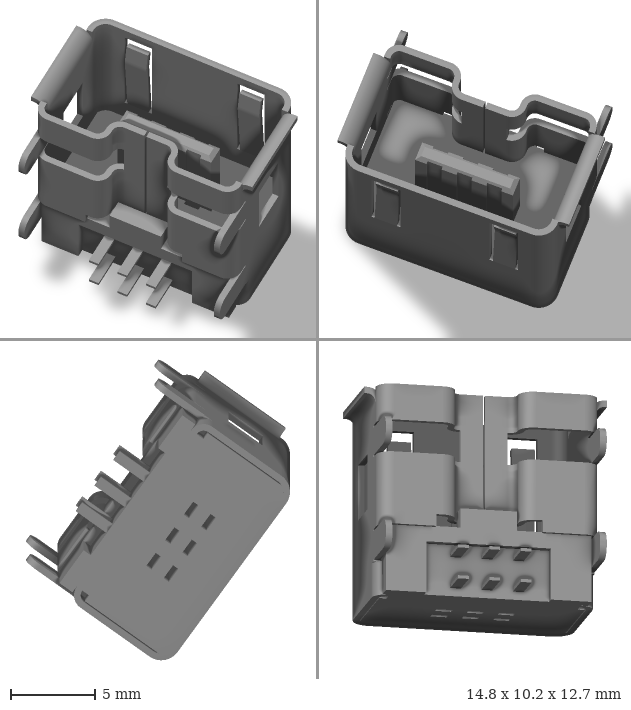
import cadquery as cq

sheet = 0.4
shell_height = 12.7
shell_half_width = 6.72
shell_depth = 8.38
back_radius = 1.2
bend_radius = 0.9
inner_bend = bend_radius - sheet
wall_inner = shell_half_width - sheet
lobe_end = 2.84
dip_depth = 1.55
seam_half_gap = 0.07
dip_outer_y = dip_depth - shell_depth
dip_flat_end = lobe_end - bend_radius - inner_bend

front_edge_z = 4.06
notch_half_width = 3.24
notch_z = 4.79

leg_root_y = -6.83
leg_tip_y = -10.24
leg_radius = 0.75
upper_leg_z = (8.63, 10.33)
lower_leg_z = (2.19, 3.95)
upper_slot_z = (8.51, 10.48)

tab_height = 2.08
tab_bend_y = -6.27
tab_end_x = shell_half_width - bend_radius

lip_y = (-7.3, -1.37)
lip_tip_x = 7.39
lip_bend_z = shell_height - bend_radius
lip_bend_x = shell_half_width + inner_bend

window_y = (-5.1, -2.55)
window_z = (5.75, 9.15)

spring_window_x = (2.84, 4.67)
spring_window_z = (5.53, 12.0)
finger_x = (3.06, 4.48)
finger_knee_z = (9.93, 10.21)
finger_knee_y = (-0.72, -0.71)
finger_tip_inner = (-0.52, 11.32)
finger_tip_outer = (-0.13, 11.22)

housing_half_width = 6.25
housing_front_y = -8.13
floor_z = 4.12
stop_half_width = 1.71
stop_back_y = -7.0
stop_z = 5.3
recess_half_width = 3.8
recess_height = 3.15
recess_depth = 0.52
tab_pocket_y = -7.18
tab_pocket_height = 1.24

tongue_y = -3.72
tongue_length = 6.24
tongue_thickness = 1.18
tongue_top_z = 9.2
tongue_chamfer_height = 0.22
tongue_chamfer_width = 0.28

contact_pitch = 1.9
contact_columns = (-contact_pitch, 0, contact_pitch)
contact_slot_width = 0.96
contact_slot_offset = (0.45, 0.83)

pin_width = 0.65
pin_thickness = 0.19
pin_tip_y = -9.83
pin_row_z = (0.5, 2.41)


def box(x, y, z):
    """Box spanning the (low, high) pairs along each axis."""
    size = (x[1] - x[0], y[1] - y[0], z[1] - z[0])
    return cq.Workplane("XY").box(*size, centered=False).translate((x[0], y[0], z[0]))


def wrapped_wall():
    """Bent sheet of one half, from the back seam round to the front gap."""
    back_bend_x = shell_half_width - back_radius
    front_bend_x = shell_half_width - bend_radius
    front_bend_y = bend_radius - shell_depth
    dip_side_x = lobe_end - bend_radius
    dip_bend_y = dip_outer_y - inner_bend
    return (
        cq.Workplane("XY")
        .moveTo(0, 0)
        .lineTo(back_bend_x, 0)
        .tangentArcPoint((shell_half_width, -back_radius), relative=False)
        .lineTo(shell_half_width, front_bend_y)
        .tangentArcPoint((front_bend_x, -shell_depth), relative=False)
        .lineTo(lobe_end, -shell_depth)
        .tangentArcPoint((dip_side_x, front_bend_y), relative=False)
        .lineTo(dip_side_x, dip_bend_y)
        .tangentArcPoint((dip_flat_end, dip_outer_y), relative=False)
        .lineTo(seam_half_gap, dip_outer_y)
        .lineTo(seam_half_gap, dip_outer_y + sheet)
        .lineTo(dip_flat_end, dip_outer_y + sheet)
        .tangentArcPoint((dip_side_x + sheet, dip_bend_y), relative=False)
        .lineTo(dip_side_x + sheet, front_bend_y)
        .tangentArcPoint((lobe_end, sheet - shell_depth), relative=False)
        .lineTo(front_bend_x, sheet - shell_depth)
        .tangentArcPoint((wall_inner, front_bend_y), relative=False)
        .lineTo(wall_inner, -back_radius)
        .tangentArcPoint((back_bend_x, -sheet), relative=False)
        .lineTo(0, -sheet)
        .close()
        .extrude(shell_height)
    )


def front_openings():
    """Material missing from the front: upper leg slot, lower opening and notch."""
    beyond_x = shell_half_width + sheet
    beyond_y = -shell_depth - sheet
    inside_y = dip_outer_y + 2 * sheet
    slot_middle = box((dip_flat_end, lobe_end), (beyond_y, inside_y), upper_slot_z)
    slot_side = box((lobe_end, beyond_x), (beyond_y, leg_root_y), upper_slot_z)
    below_front = box((0, beyond_x), (beyond_y, leg_root_y), (0, front_edge_z))
    beside_tab = box((wall_inner, beyond_x), (beyond_y, tab_bend_y), (0, tab_height))
    notch = box((0, notch_half_width), (beyond_y, inside_y), (0, notch_z))
    return slot_middle.union(slot_side).union(below_front).union(beside_tab).union(notch)


def leg(z):
    """Flat solder leg with rounded tip corners, reaching forward from the side wall."""
    plate = box((wall_inner, shell_half_width), (leg_tip_y, leg_root_y), z)
    return plate.faces("<Y").edges("|X").fillet(leg_radius)


def retaining_tab():
    """Quarter bend at the foot of the side wall."""
    return (
        cq.Workplane("XY")
        .moveTo(shell_half_width, tab_bend_y)
        .radiusArc((tab_end_x, tab_bend_y - bend_radius), bend_radius)
        .lineTo(tab_end_x, tab_bend_y - inner_bend)
        .radiusArc((wall_inner, tab_bend_y), -inner_bend)
        .close()
        .extrude(tab_height)
    )


def flared_lip():
    """Outward bend along the top of the side wall."""
    profile = (
        cq.Workplane("XZ")
        .moveTo(shell_half_width, lip_bend_z)
        .radiusArc((lip_bend_x, lip_bend_z + inner_bend), inner_bend)
        .lineTo(lip_tip_x, lip_bend_z + inner_bend)
        .lineTo(lip_tip_x, shell_height)
        .lineTo(lip_bend_x, shell_height)
        .radiusArc((wall_inner, lip_bend_z), -bend_radius)
        .close()
    )
    return profile.extrude(lip_y[1] - lip_y[0]).translate((0, lip_y[1], 0))


def spring_finger():
    """Finger rising from the foot of the back window, leaning in and then out again."""
    root_z = spring_window_z[0]
    knee_low, knee_high = zip(finger_knee_y, finger_knee_z)
    profile = (
        cq.Workplane("YZ")
        .moveTo(-sheet, root_z)
        .lineTo(*knee_low)
        .tangentArcPoint(knee_high, relative=False)
        .lineTo(*finger_tip_inner)
        .lineTo(*finger_tip_outer)
        .lineTo(knee_high[0] + sheet, knee_high[1])
        .lineTo(knee_low[0] + sheet, knee_low[1])
        .lineTo(0, root_z)
        .close()
    )
    return profile.extrude(finger_x[1] - finger_x[0]).translate((finger_x[0], 0, 0))


def make_shell_half():
    """Shell half on the +X side."""
    side_x = (wall_inner - sheet, shell_half_width + sheet)
    side_window = box(side_x, window_y, window_z)
    spring_window = box(spring_window_x, (-sheet, 0), spring_window_z)
    lip_clearance = box((wall_inner, shell_half_width), lip_y, (lip_bend_z, shell_height))
    half = wrapped_wall().cut(front_openings())
    half = half.cut(side_window).cut(spring_window).cut(lip_clearance)
    for feature in (leg(upper_leg_z), leg(lower_leg_z), retaining_tab(), flared_lip(), spring_finger()):
        half = half.union(feature)
    return half


def housing_base():
    """Block filling the foot of the shell, with the stop and the front recess."""
    base = box((-wall_inner, wall_inner), (housing_front_y, -sheet), (0, floor_z))
    base = base.edges("|Z and >Y").fillet(back_radius - sheet)
    width = (-housing_half_width, housing_half_width)
    base = base.intersect(box(width, (housing_front_y, 0), (0, floor_z)))
    stop = box((-stop_half_width, stop_half_width), (housing_front_y, stop_back_y), (floor_z, stop_z))
    recess_x = (-recess_half_width, recess_half_width)
    recess = box(recess_x, (housing_front_y, housing_front_y + recess_depth), (0, recess_height))
    base = base.union(stop).cut(recess)
    for pocket_x in ((-housing_half_width, -tab_end_x), (tab_end_x, housing_half_width)):
        base = base.cut(box(pocket_x, (tab_pocket_y, tab_bend_y), (0, tab_pocket_height)))
    return base


def tongue():
    """Upright tongue with a chamfered top rim."""
    blade = (
        cq.Workplane("XY", origin=(0, tongue_y, floor_z))
        .rect(tongue_length, tongue_thickness)
        .extrude(tongue_top_z - floor_z)
    )
    return blade.faces(">Z").chamfer(tongue_chamfer_height, tongue_chamfer_width)


def contact_slots():
    """Slots running down both faces of the tongue and through the base."""
    near, far = contact_slot_offset
    places = [(x, tongue_y + side * (near + far) / 2) for x in contact_columns for side in (-1, 1)]
    return cq.Workplane("XY").pushPoints(places).rect(contact_slot_width, far - near).extrude(tongue_top_z)


def make_housing(shell_halves):
    """Housing with its pins, hollowed where the shell sheet sinks into it."""
    housing = housing_base().union(tongue()).cut(contact_slots())
    for half in shell_halves:
        housing = housing.cut(half)
    pin_root_y = housing_front_y + recess_depth
    for x in contact_columns:
        for z in pin_row_z:
            pin_x = (x - pin_width / 2, x + pin_width / 2)
            housing = housing.union(box(pin_x, (pin_tip_y, pin_root_y), (z, z + pin_thickness)))
    return housing


right_shell = make_shell_half()
left_shell = right_shell.mirror("YZ")
housing = make_housing((right_shell, left_shell))
bodies = (right_shell, left_shell, housing)
result = cq.Compound.makeCompound([body.solids().val() for body in bodies])